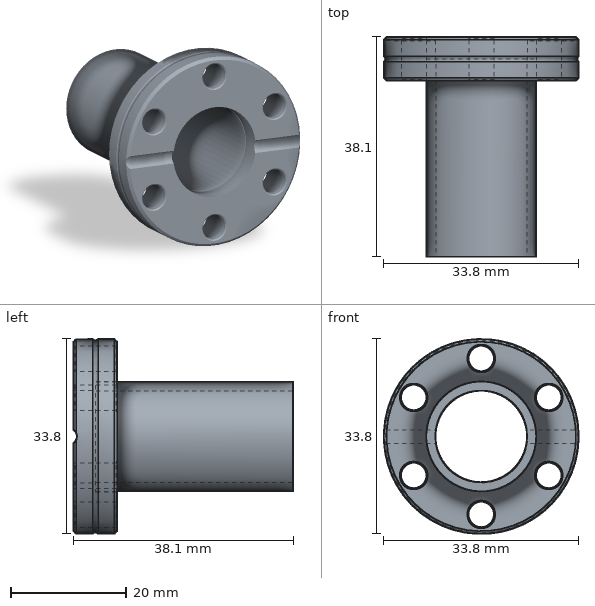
import cadquery as cq

overall_length = 38.1
half_length = overall_length / 2

flange_diameter = 33.8
flange_thickness = 7.6
rim_chamfer = 0.5
flange_radius = flange_diameter / 2
sealing_face_y = half_length
tube_side_face_y = sealing_face_y - flange_thickness

rim_groove_width = 0.95
rim_groove_depth = 0.23
rim_groove_setback = 3.8

bolt_count = 6
bolt_hole_diameter = 4.4
bolt_circle_diameter = 27.0
bolt_hole_chamfer = 0.23

notch_width = 2.3
notch_depth = 0.6

tube_outer_diameter = 19.0
tube_bore_diameter = 15.8
socket_diameter = 19.1
flange_bore_diameter = 16.0
socket_depth = flange_thickness / 2
tube_length = overall_length - flange_thickness + socket_depth


def cylinder(diameter, start_y, length):
    """Cylinder on the Y axis that runs towards +Y from start_y."""
    plane = cq.Workplane("XZ", origin=(0, start_y, 0))
    return plane.circle(diameter / 2).extrude(-length)


def make_rim_groove():
    """Ring with a circular-arc bottom, to be cut from the rim."""
    middle_y = sealing_face_y - rim_groove_setback
    low_y = middle_y - rim_groove_width / 2
    high_y = middle_y + rim_groove_width / 2
    return (
        cq.Workplane("XY")
        .moveTo(flange_radius, low_y)
        .threePointArc((flange_radius - rim_groove_depth, middle_y), (flange_radius, high_y))
        .close()
        .revolve(360, (0, 0, 0), (0, 1, 0))
    )


def make_bolt_hole(angle):
    """Through hole with both ends chamfered, at the given angle from +Z around the flange."""
    radius = bolt_hole_diameter / 2
    mouth_radius = radius + bolt_hole_chamfer
    return (
        cq.Workplane("XY")
        .moveTo(0, tube_side_face_y)
        .lineTo(mouth_radius, tube_side_face_y)
        .lineTo(radius, tube_side_face_y + bolt_hole_chamfer)
        .lineTo(radius, sealing_face_y - bolt_hole_chamfer)
        .lineTo(mouth_radius, sealing_face_y)
        .lineTo(0, sealing_face_y)
        .close()
        .revolve(360, (0, 0, 0), (0, 1, 0))
        .translate((0, 0, bolt_circle_diameter / 2))
        .rotate((0, 0, 0), (0, 1, 0), angle)
    )


def make_notch():
    """Bar with a circular-segment section that runs along X across the whole sealing face."""
    return (
        cq.Workplane("YZ")
        .moveTo(sealing_face_y, -notch_width / 2)
        .threePointArc((sealing_face_y - notch_depth, 0), (sealing_face_y, notch_width / 2))
        .close()
        .extrude(flange_radius, both=True)
    )


def make_flange():
    """Bolt flange with a socket for the tube and a slightly smaller bore behind it."""
    flange = cylinder(flange_diameter, tube_side_face_y, flange_thickness)
    flange = flange.faces("<Y or >Y").edges().chamfer(rim_chamfer)
    flange = flange.cut(cylinder(flange_bore_diameter, tube_side_face_y, flange_thickness))
    flange = flange.cut(cylinder(socket_diameter, tube_side_face_y, socket_depth))
    flange = flange.cut(make_rim_groove())
    for index in range(bolt_count):
        flange = flange.cut(make_bolt_hole(index * 360 / bolt_count))
    return flange.cut(make_notch())


def make_tube():
    """Plain tube that rests on the floor of the flange socket."""
    tube = cylinder(tube_outer_diameter, -half_length, tube_length)
    return tube.cut(cylinder(tube_bore_diameter, -half_length, tube_length))


flange = make_flange()
tube = make_tube()

result = cq.Compound.makeCompound([flange.val(), tube.val()])